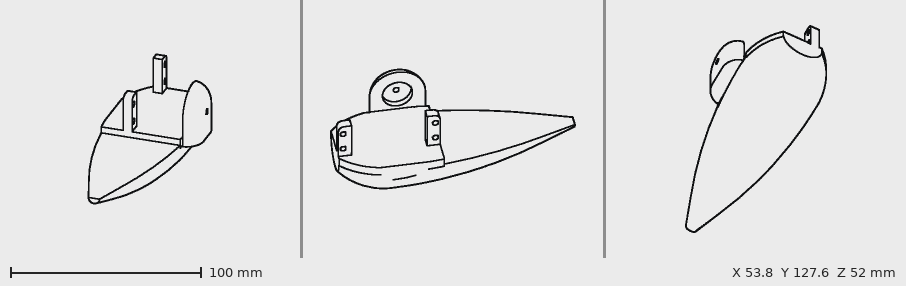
import cadquery as cq
import math

hull_radius = 23.5
nose_y = 27.3
nose_arc_radius = 36.8
taper_start_y = -83.6
tail_arc_radius = 246.0
overall_length = 127.55
tip_y = nose_y - overall_length
tip_radius = 3.1

deck_half_width = 22.75
deck_thickness = 5.0
deck_top_z = 3.5
deck_bottom_z = deck_top_z - deck_thickness
deck_length = 54.3
deck_end_y = nose_y - deck_length

tab_width = 5.0
tab_length = 7.0
tab_height = 20.0
tab_corner_radius = 3.0
tab_x = -7.3
tab_hole_diameter = 3.0
tab_hole_inset = 2.5
tab_hole_heights = (5.0, 15.0)

bracket_radius = 15.0
bracket_thickness = 8.26
bracket_rim_radius = 9.6
bracket_rim_center_offset = 1.4
bracket_y = -10.3
bracket_axis_z = deck_bottom_z + bracket_radius
pocket_diameter = 16.0
pocket_depth = 3.5
pivot_hole_diameter = 3.0


def arc_radius_at(y, arc_radius):
    """Hull radius at y, on an arc whose crest is the widest point of the hull."""
    return hull_radius - arc_radius + math.sqrt(arc_radius**2 - y**2)


def hull_side_profile():
    """Half outline of the hull in the XY plane, closed along its axis."""
    nose_mid_y = nose_y / 2
    tail_mid_y = taper_start_y / 2
    return (
        cq.Workplane("XY")
        .moveTo(0, nose_y)
        .lineTo(arc_radius_at(nose_y, nose_arc_radius), nose_y)
        .threePointArc((arc_radius_at(nose_mid_y, nose_arc_radius), nose_mid_y), (hull_radius, 0))
        .threePointArc(
            (arc_radius_at(tail_mid_y, tail_arc_radius), tail_mid_y),
            (arc_radius_at(taper_start_y, tail_arc_radius), taper_start_y),
        )
        .lineTo(tip_radius, tip_y)
        .lineTo(0, tip_y)
        .close()
    )


def box_between(x_range, y_range, z_range):
    lengths = [high - low for low, high in (x_range, y_range, z_range)]
    corner = (x_range[0], y_range[0], z_range[0])
    return cq.Workplane("XY").box(*lengths, centered=False).translate(corner)


def make_hull():
    """Lower half of the revolved body, flattened on its -X side."""
    body = hull_side_profile().revolve(360, (0, 0, 0), (0, 1, 0))
    keep = box_between((-deck_half_width, hull_radius), (tip_y, nose_y), (-hull_radius, 0))
    return body.intersect(keep)


def make_deck():
    """Plate that follows the hull outline, with straight sides at its widest part."""
    half = hull_side_profile().extrude(deck_thickness)
    full = half.union(half.mirror("YZ")).translate((0, 0, deck_bottom_z))
    keep = box_between(
        (-deck_half_width, deck_half_width), (deck_end_y, nose_y), (deck_bottom_z, deck_top_z)
    )
    return full.intersect(keep)


def make_tab(outer_y, inward):
    """Tab standing at outer_y; inward is the Y direction (+1 or -1) toward the deck middle."""
    center_y = outer_y + inward * tab_length / 2
    outer_top_edge = ">Z and <Y" if inward > 0 else ">Z and >Y"
    tab = (
        cq.Workplane("XY", origin=(tab_x, center_y, deck_top_z))
        .rect(tab_width, tab_length)
        .extrude(tab_height)
        .edges(outer_top_edge)
        .fillet(tab_corner_radius)
    )
    hole_y = outer_y + inward * tab_hole_inset
    holes = (
        cq.Workplane("YZ", origin=(tab_x, 0, deck_top_z))
        .pushPoints([(hole_y, height) for height in tab_hole_heights])
        .circle(tab_hole_diameter / 2)
        .extrude(tab_width, both=True)
    )
    return tab.cut(holes)


def make_bracket():
    """Arched plate with a rounded outer rim, a round pocket inside and a pivot hole."""
    rim_half_chord = math.sqrt(bracket_rim_radius**2 - bracket_rim_center_offset**2)
    full_radius = bracket_radius + bracket_rim_radius - rim_half_chord
    inner_face = cq.Workplane("YZ", origin=(deck_half_width, bracket_y, bracket_axis_z))
    arch = (
        inner_face.workplane(offset=-bracket_rim_center_offset)
        .moveTo(-full_radius, -bracket_radius)
        .lineTo(-full_radius, 0)
        .threePointArc((0, full_radius), (full_radius, 0))
        .lineTo(full_radius, -bracket_radius)
        .close()
        .extrude(bracket_rim_center_offset + bracket_thickness)
        .faces(">X")
        .edges("not(<Z)")
        .fillet(bracket_rim_radius)
    )
    inside_deck = inner_face.circle(overall_length).extrude(-bracket_rim_center_offset)
    pocket = inner_face.circle(pocket_diameter / 2).extrude(pocket_depth)
    pivot_hole = inner_face.circle(pivot_hole_diameter / 2).extrude(bracket_thickness)
    return arch.cut(inside_deck).cut(pocket).cut(pivot_hole)


result = (
    make_hull()
    .union(make_deck())
    .union(make_tab(nose_y, -1))
    .union(make_tab(deck_end_y, 1))
    .union(make_bracket())
)